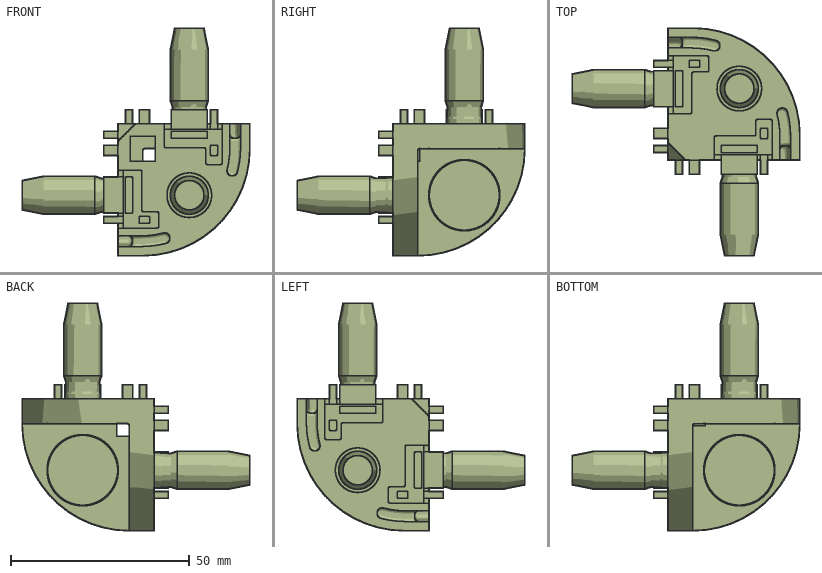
import cadquery as cq
import math


side = 37.05
plate_thickness = 7.0
outer_radius = side - plate_thickness
inner_fillet = 0.5
corner_chamfer = 5.0

window_start = 3.5
window_width = 6.95
window_depth = plate_thickness + inner_fillet

pocket_depth = 1.55
pocket_width = 6.8
pocket_start = 13.05
pocket_end = 29.25
leg_start = 24.7
leg_reach = 11.5
pocket_fillet = 0.5

key_projection = 3.95
key_fillet = 0.3
long_key_u = (2.1, 4.15)
long_key_v = (14.95, 25.1)
short_key_u = (6.0, 8.95)
short_key_v = (26.0, 28.0)

slot_width = 3.0
slot_depth = 4.0
slot_line = 33.0
slot_arc_center = 6.5
slot_sweep = 14.5
slot_fillet = 1.0

pin_place = 20.05
pin_length = 26.85
pin_diameter = 10.7
tip_diameter = 8.25
tip_length = 6.0
neck_diameter = 9.5
base_diameter = 9.9
flange_diameter = 19.6
body_start = 6.45
neck_end = 4.7
neck_start = 2.0
base_end = 1.35
hole_diameter = 12.5
recess_diameter = 20.0
hole_depth = 3.0

overshoot = 1.3
tolerance = 0.005

front_face = cq.Plane(origin=(0, 0, 0), xDir=(1, 0, 0), normal=(0, 1, 0))
top_face = cq.Plane(origin=(0, 0, 0), xDir=(0, 1, 0), normal=(0, 0, -1))
left_face = cq.Plane(origin=(0, 0, 0), xDir=(0, 0, -1), normal=(1, 0, 0))
faces = [front_face, top_face, left_face]


def oriented(point, swapped):
    """A (u, v) point, mirrored about the plate's diagonal when swapped."""
    u, v = point
    return (v, u) if swapped else (u, v)


def quarter_round(face):
    """Quarter-round prism with short straight ends, as deep as the whole part."""
    arc_middle = plate_thickness + outer_radius * math.sqrt(0.5)
    return (
        cq.Workplane(face)
        .lineTo(side, 0)
        .lineTo(side, plate_thickness)
        .threePointArc((arc_middle, arc_middle), (plate_thickness, side))
        .lineTo(0, side)
        .close()
        .extrude(side)
    )


def plates():
    """Three quarter-round plates, left by hollowing their common block from the back."""
    block = quarter_round(front_face).intersect(quarter_round(top_face)).intersect(quarter_round(left_face))
    cavity = (
        cq.Workplane(front_face)
        .workplane(offset=plate_thickness)
        .moveTo(plate_thickness, plate_thickness)
        .rect(side, side, centered=False)
        .extrude(side)
    )
    inner_corner = cq.Vertex.makeVertex(plate_thickness, plate_thickness, -plate_thickness)
    inner_edges = [edge for edge in cavity.val().Edges() if edge.distance(inner_corner) < tolerance]
    return block.cut(cavity.newObject(inner_edges).fillet(inner_fillet))


def corner_cutter():
    """Block that cuts the outer corner off at equal distances along the three edges."""
    reach = corner_chamfer / 3
    cut_plane = cq.Plane(origin=(reach, reach, -reach), normal=(-1, -1, 1))
    return cq.Workplane(cut_plane).rect(2 * corner_chamfer, 2 * corner_chamfer).extrude(corner_chamfer)


def window_cutter():
    """Square window through the front plate."""
    return (
        cq.Workplane(front_face)
        .moveTo(window_start, window_start)
        .rect(window_width, window_width, centered=False)
        .extrude(window_depth)
    )


def pocket_cutter(face, swapped):
    """L-shaped pocket, open along one plate edge."""
    outline = [
        (-overshoot, pocket_start),
        (pocket_width, pocket_start),
        (pocket_width, leg_start),
        (leg_reach, leg_start),
        (leg_reach, pocket_end),
        (-overshoot, pocket_end),
    ]
    return (
        cq.Workplane(face)
        .workplane(offset=-overshoot)
        .polyline([oriented(point, swapped) for point in outline])
        .close()
        .extrude(overshoot + pocket_depth)
        .edges(cq.selectors.ParallelDirSelector(face.zDir))
        .fillet(pocket_fillet)
    )


def key(face, swapped, u_range, v_range):
    """Rectangular key that rises from the pocket floor to beyond the outer face."""
    start = oriented((u_range[0], v_range[0]), swapped)
    end = oriented((u_range[1], v_range[1]), swapped)
    return (
        cq.Workplane(face)
        .workplane(offset=-key_projection)
        .moveTo(*start)
        .rect(end[0] - start[0], end[1] - start[1], centered=False)
        .extrude(key_projection + pocket_depth)
        .edges(cq.selectors.ParallelDirSelector(face.zDir))
        .fillet(key_fillet)
    )


def slot_arm(face, swapped):
    """Half of a slot: straight from the plate edge, then bent round the plate's arc center."""
    middle_radius = slot_line - slot_arc_center

    def bend(radius, degrees):
        angle = math.radians(degrees)
        point = (slot_arc_center + radius * math.sin(angle), slot_arc_center + radius * math.cos(angle))
        return oriented(point, swapped)

    inner = middle_radius - slot_width / 2
    outer = middle_radius + slot_width / 2
    round_end = math.degrees(slot_width / 2 / middle_radius)
    return (
        cq.Workplane(face)
        .workplane(offset=-overshoot)
        .moveTo(*oriented((-overshoot, slot_line - slot_width / 2), swapped))
        .lineTo(*bend(inner, 0))
        .threePointArc(bend(inner, slot_sweep / 2), bend(inner, slot_sweep))
        .threePointArc(bend(middle_radius, slot_sweep + round_end), bend(outer, slot_sweep))
        .threePointArc(bend(outer, slot_sweep / 2), bend(outer, 0))
        .lineTo(*oriented((-overshoot, slot_line + slot_width / 2), swapped))
        .close()
        .extrude(overshoot + slot_depth)
    )


def slot_cutter(face, next_face):
    """Slot that runs round the edge shared by two plates, with a rounded floor."""
    bend_point = face.toWorldCoords((slot_line, slot_depth, slot_depth))
    straight_middle = (slot_depth + slot_arc_center) / 2
    floor_edge_point = face.toWorldCoords((slot_line + slot_width / 2, straight_middle, slot_depth))
    return (
        slot_arm(face, True)
        .union(slot_arm(next_face, False))
        .edges(cq.NearestToPointSelector(bend_point))
        .fillet(slot_fillet)
        .edges(cq.NearestToPointSelector(floor_edge_point))
        .fillet(slot_fillet)
    )


def pin_hole(face):
    """Round hole from the outer face, opening into a wider recess at the back of the plate."""
    center = cq.Workplane(face).center(pin_place, pin_place)
    hole = center.circle(hole_diameter / 2).extrude(hole_depth)
    recess_depth = plate_thickness - hole_depth
    recess = center.workplane(offset=hole_depth).circle(recess_diameter / 2).extrude(recess_depth)
    return hole.union(recess)


def build_housing():
    """Hollow corner with all openings cut first and the keys added last."""
    body = plates().cut(corner_cutter()).cut(window_cutter())
    for face, next_face in zip(faces, faces[1:] + faces[:1]):
        body = body.cut(pin_hole(face)).cut(slot_cutter(face, next_face))
        for swapped in (False, True):
            body = body.cut(pocket_cutter(face, swapped))
    for face in faces:
        for swapped in (False, True):
            body = body.union(key(face, swapped, long_key_u, long_key_v))
            body = body.union(key(face, swapped, short_key_u, short_key_v))
    return body


def build_pin(face):
    """Pin with a tapered tip and a necked base, held by a flange in the recess."""
    profile = [
        (0, -plate_thickness),
        (flange_diameter / 2, -plate_thickness),
        (flange_diameter / 2, -hole_depth),
        (base_diameter / 2, -hole_depth),
        (base_diameter / 2, base_end),
        (neck_diameter / 2, neck_start),
        (neck_diameter / 2, neck_end),
        (pin_diameter / 2, body_start),
        (pin_diameter / 2, pin_length - tip_length),
        (tip_diameter / 2, pin_length),
        (0, pin_length),
    ]
    axis_place = face.toWorldCoords((pin_place, pin_place, 0))
    axial_plane = cq.Plane(origin=axis_place, xDir=face.xDir, normal=face.yDir)
    return cq.Workplane(axial_plane).polyline(profile).close().revolve(360, (0, 0), (0, 1))


housing = build_housing()
pins = [build_pin(face) for face in faces]

result = cq.Compound.makeCompound([housing.val(), *[pin.val() for pin in pins]])